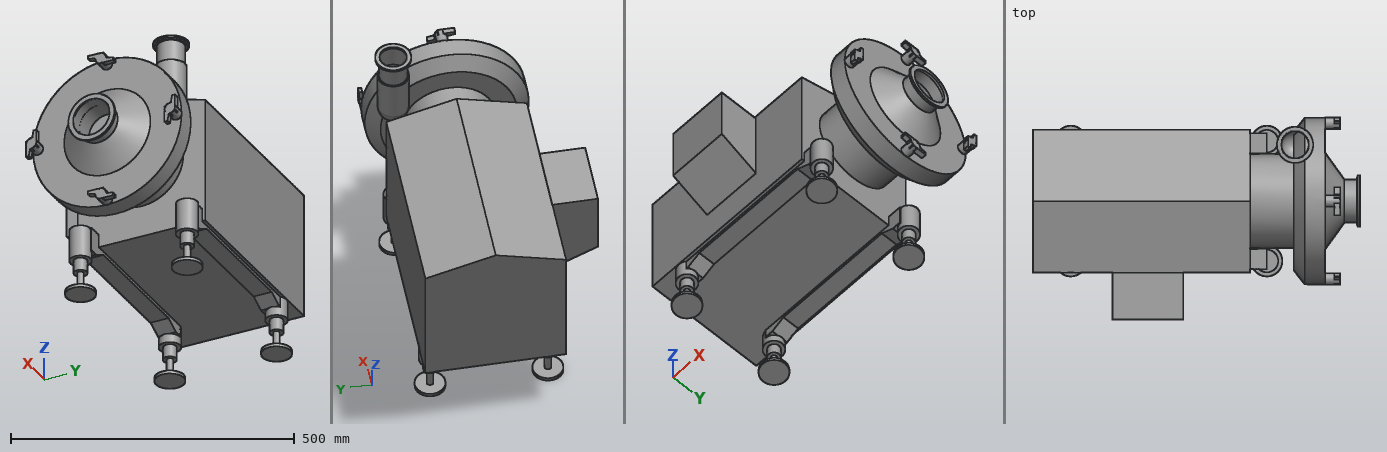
import cadquery as cq
total_length = 577.0
total_height = 430.0
shaft_z = 250.0
EMBED = 6.0

housing_length = 383.0
housing_width = 252.0
housing_bottom = 105.5
eave_z = 350.0
ridge_z = 386.0

box_start = 140.0
box_length = 125.0
box_front_y = -209.0
box_top = 344.0
box_front_bottom = 220.0
box_wall_bottom = 180.0

neck_diameter = 166.0
casing_start = 460.0
casing_rim_start = 479.5
casing_front = 515.0
cover_diameter = 171.0
casing_back_diameter = 244.5
casing_diameter = 294.0
cover_end = 549.5
inlet_diameter = 76.0
inlet_bore = 72.0
inlet_flange_diameter = 91.0

flange_thickness = 6.0
flange_rim = 4.0
flange_back_step = 3.5

outlet_x = 462.0
outlet_y = 99.0
outlet_end_z = 305.0
outlet_step_z = 383.0
outlet_socket_diameter = 56.0
outlet_diameter = 51.0
outlet_bore = 48.0
outlet_flange_diameter = 64.0

stud_diameter = 21.0
nut_start = 531.5
nut_end = 542.0
clamp_radius = 137.5
wing_face = stud_diameter / 2
wing_thickness = 6.0
wing_reach = 25.0
wing_step = 8.5
wing_shoulder = 5.0
wing_face_start = 3.5
wing_root = (2.5, 12.0)

leg_first_x = 67.0
leg_spacing = 345.5
leg_y = 105.5
leg_top = 129.0
leg_diameter = 40.0
sleeve_top = 68.0
sleeve_diameter = 25.0
spindle_top = 43.0
spindle_diameter = 12.0
foot_diameter = 55.0
foot_height = 6.5
beam_y = 102.0
beam_width = 36.0
beam_top = 130.5
beam_end_bottom = 85.0
beam_arch_z = 98.5
beam_end_length = 18.5
beam_slope_length = 28.0


def cylinder(diameter, z_low, z_high, x, y):
    """Upright cylinder between two heights."""
    disc = cq.Workplane("XY", origin=(x, y, z_low)).circle(diameter / 2)
    return disc.extrude(z_high - z_low)


def shaft_cylinder(diameter, x_start, x_end, y=0.0):
    """Cylinder along X between two stations, at shaft height."""
    disc = cq.Workplane("YZ", origin=(x_start, y, shaft_z)).circle(diameter / 2)
    return disc.extrude(x_end - x_start)


def housing():
    half = housing_width / 2
    gable = [
        (-half, housing_bottom),
        (half, housing_bottom),
        (half, eave_z),
        (0, ridge_z),
        (-half, eave_z),
    ]
    return cq.Workplane("YZ").polyline(gable).close().extrude(housing_length)


def terminal_box():
    wall_y = -housing_width / 2
    section = [
        (wall_y + EMBED, box_top),
        (box_front_y, box_top),
        (box_front_y, box_front_bottom),
        (wall_y, box_wall_bottom),
        (wall_y + EMBED, box_wall_bottom),
    ]
    plane = cq.Workplane("YZ", origin=(box_start, 0, 0))
    return plane.polyline(section).close().extrude(box_length)


def flange_outline(face, pipe_radius, flange_radius):
    """(station, radius) points from the pipe wall to the flange face."""
    back = face - flange_thickness
    return [
        (back, pipe_radius),
        (back, pipe_radius + flange_back_step),
        (face - flange_rim, flange_radius),
        (face, flange_radius),
    ]


def casing():
    neck_radius = neck_diameter / 2
    outline = [
        (housing_length - EMBED, 0),
        (housing_length - EMBED, neck_radius),
        (casing_start, neck_radius),
        (casing_start, casing_back_diameter / 2),
        (casing_rim_start, casing_diameter / 2),
        (casing_front, casing_diameter / 2),
        (casing_front, cover_diameter / 2),
        (cover_end, inlet_diameter / 2),
    ]
    outline += flange_outline(total_length, inlet_diameter / 2, inlet_flange_diameter / 2)
    outline.append((total_length, 0))
    plane = cq.Workplane("XY", origin=(0, 0, shaft_z))
    body = plane.polyline(outline).close().revolve(360, (0, 0), (1, 0))
    return body.cut(shaft_cylinder(inlet_bore, casing_front, total_length))


def outlet():
    """Stepped pipe, closed at the bottom by a half ball that sinks into the casing."""
    outline = [(outlet_end_z, outlet_socket_diameter / 2)]
    outline.append((outlet_step_z, outlet_socket_diameter / 2))
    outline.append((outlet_step_z, outlet_diameter / 2))
    outline += flange_outline(total_height, outlet_diameter / 2, outlet_flange_diameter / 2)
    points = [(radius, z) for z, radius in outline]
    points = [(0, outlet_end_z)] + points + [(0, total_height)]
    plane = cq.Workplane("XZ", origin=(outlet_x, outlet_y, 0))
    pipe = plane.polyline(points).close().revolve(360, (0, 0), (0, 1))
    centre = (outlet_x, outlet_y, outlet_end_z)
    pipe = pipe.union(cq.Workplane("XY").sphere(outlet_socket_diameter / 2).translate(centre))
    bore = cylinder(outlet_bore, outlet_end_z, total_height, outlet_x, outlet_y)
    bore = bore.union(cq.Workplane("XY").sphere(outlet_bore / 2).translate(centre))
    return pipe.cut(bore)


def clamp(angle):
    """Stud and S-shaped wing nut on the cover rim, turned about the shaft by the angle."""
    wing = [
        (wing_step, -wing_shoulder),
        (wing_face, -wing_shoulder),
        (-wing_root[0], -wing_root[1]),
        (wing_thickness - wing_face, -wing_reach),
        (-wing_face, -wing_reach),
        (-wing_face, -wing_face_start),
        (-wing_step, -wing_face_start),
    ]
    opposite_wing = [(-radial, -tangent) for radial, tangent in wing]
    plane = cq.Workplane("YZ", origin=(nut_start, clamp_radius, shaft_z))
    nut = plane.polyline(wing + opposite_wing).close().extrude(nut_end - nut_start)
    stud = shaft_cylinder(stud_diameter, casing_front, nut_end, y=clamp_radius)
    return stud.union(nut).rotate((0, 0, shaft_z), (1, 0, shaft_z), angle)


def leg(x, y):
    steps = [
        (foot_diameter, 0, foot_height),
        (spindle_diameter, 0, spindle_top),
        (sleeve_diameter, spindle_top, sleeve_top),
        (leg_diameter, sleeve_top, leg_top),
    ]
    body = cq.Workplane("XY")
    for diameter, z_low, z_high in steps:
        body = body.union(cylinder(diameter, z_low, z_high, x, y))
    return body


def beam(side):
    """Arched beam joining the two legs on one side."""
    start = leg_first_x
    end = leg_first_x + leg_spacing
    arch_inset = beam_end_length + beam_slope_length
    side_outline = [
        (start, beam_top),
        (start, beam_end_bottom),
        (start + beam_end_length, beam_end_bottom),
        (start + arch_inset, beam_arch_z),
        (end - arch_inset, beam_arch_z),
        (end - beam_end_length, beam_end_bottom),
        (end, beam_end_bottom),
        (end, beam_top),
    ]
    plane = cq.Workplane("XZ", origin=(0, side * beam_y, 0))
    return plane.polyline(side_outline).close().extrude(beam_width / 2, both=True)


result = housing().union(terminal_box()).union(casing()).union(outlet())
for quarter in range(4):
    result = result.union(clamp(90 * quarter))
for side in (-1, 1):
    result = result.union(beam(side))
    for x in (leg_first_x, leg_first_x + leg_spacing):
        result = result.union(leg(x, side * leg_y))